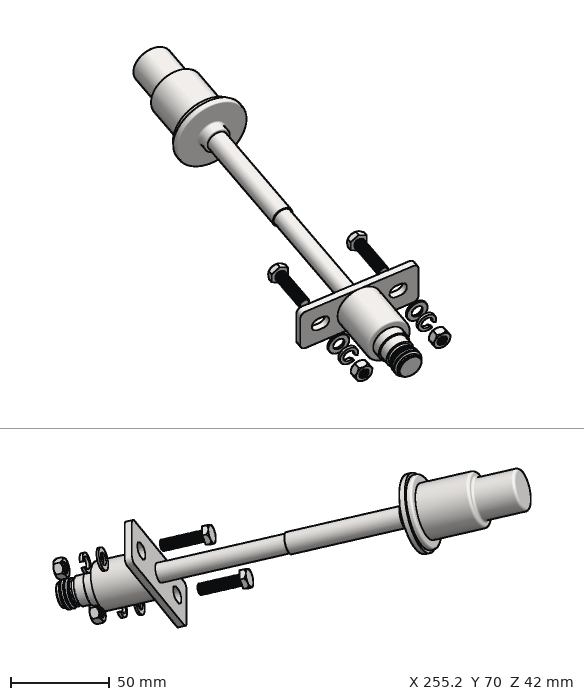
import cadquery as cq
import math

cap_radius = 11.2
cap_end = 23.5
cap_fillet = 1.5
cap_root_fillet = 1.3
barrel_radius = 29.9 / 2
barrel_end = 53.0
barrel_fillet = 1.5
rim_radius = 19.7
rim_end = 56.5
rim_fillet = 1.3
rim_back_fillet = 0.8
flange_radius = 21.0
flange_end = 59.7
flange_fillet = 0.8
collar_radius = 15.0 / 2
collar_end = 65.3
collar_fillet = 0.5
collar_root_fillet = 1.0
sleeve_radius = 5.9
sleeve_end = 129.5
rod_radius = 10.5 / 2

plate_start = 200.9
plate_thickness = 4.0
plate_length = 70.0
plate_height = 26.0
plate_corner_radius = 3.3
plate_slot_length = 10.2
plate_slot_width = 8.0
plate_slot_offset = 23.0

socket_radius = plate_height / 2
socket_end = 233.5
socket_fillet = 1.0
shoulder_radius = 18.0 / 2
shoulder_end = 239.0
tip_radius = 16.0 / 2
tip_end = 244.7
neck_radius = 7.0
runout_ridge_radius = 15.0 / 2
tip_thread_start = 246.5
tip_thread_pitch = 2.3
tip_crest_width = 0.8
tip_thread_turns = 2
overall_length = 255.2
tip_chamfer = 0.5

back_row_y = 23.5
front_row_y = -22.7
thread_radius = 3.0
thread_root_radius = 2.5
thread_pitch = 0.97

back_bolt_x = 161.5
front_bolt_x = 160.8
bolt_head_flats = 9.7
bolt_head_thickness = 3.5
bolt_shank_length = 24.2
hex_bevel_width = 0.8
hex_bevel_height = 1.0

back_washer_x = 221.5
front_washer_x = 221.3
washer_radius = 6.0
washer_hole_radius = 3.3
washer_thickness = 1.3

spring_washer_x = 230.7
spring_washer_radius = 5.4
spring_washer_hole_radius = 3.3
spring_washer_thickness = 1.8
spring_washer_gap = 3.0
spring_washer_gap_angle = -40

nut_x = 242.2
nut_flats = 9.7
nut_thickness = 5.0


def cylinder(radius, start, end):
    """Cylinder on the X axis between two positions."""
    return cq.Workplane("YZ", origin=(start, 0, 0)).circle(radius).extrude(end - start)


def ridged_rod(crest_radius, root_radius, pitch, start, turns, crest_width=0):
    """Rod on the X axis with tapered thread ridges, one for each turn; sharp unless given a crest width."""
    profile = cq.Workplane("XY").moveTo(start, 0).lineTo(start, root_radius)
    for turn in range(turns):
        ridge_start = start + turn * pitch
        crest_start = ridge_start + (pitch - crest_width) / 2
        profile = profile.lineTo(crest_start, crest_radius)
        if crest_width > 0:
            profile = profile.lineTo(crest_start + crest_width, crest_radius)
        profile = profile.lineTo(ridge_start + pitch, root_radius)
    profile = profile.lineTo(start + turns * pitch, 0).close()
    return profile.revolve(360, (0, 0, 0), (1, 0, 0))


def root_flare(radius, fillet, wall, side):
    """Concave fillet ring from a wall to the cylinder on its +X (side 1) or -X (side -1) side."""
    profile = (
        cq.Workplane("XY")
        .moveTo(wall, 0)
        .lineTo(wall, radius + fillet)
        .radiusArc((wall + side * fillet, radius), -side * fillet)
        .lineTo(wall + side * fillet, 0)
        .close()
    )
    return profile.revolve(360, (0, 0, 0), (1, 0, 0))


def hexagon(flats, thickness, corner_angle):
    """Hexagonal block from X = 0, with a corner turned from +Y towards +Z by the given angle."""
    across_corners = flats / math.cos(math.pi / 6)
    block = cq.Workplane("YZ").polygon(6, across_corners).extrude(thickness)
    return block.rotate((0, 0, 0), (1, 0, 0), corner_angle)


def bevel_disc(flats, thickness):
    """Disc that holds a hexagon and bevels its corners at the X = 0 face."""
    corner_radius = flats / 2 / math.cos(math.pi / 6)
    return cylinder(corner_radius, 0, thickness).faces("<X").chamfer(hex_bevel_height, hex_bevel_width)


def make_plate():
    plate = (
        cq.Workplane("YZ", origin=(plate_start, 0, 0))
        .rect(plate_length, plate_height)
        .extrude(plate_thickness)
        .edges("|X")
        .fillet(plate_corner_radius)
    )
    slots = (
        cq.Workplane("YZ", origin=(plate_start, 0, 0))
        .pushPoints([(plate_slot_offset, 0), (-plate_slot_offset, 0)])
        .slot2D(plate_slot_length, plate_slot_width)
        .extrude(plate_thickness)
    )
    return plate.cut(slots)


def make_cap():
    """Rounded end cap, flared where it meets the barrel."""
    cap = cylinder(cap_radius, 0, cap_end).faces("<X").edges().fillet(cap_fillet)
    flare = root_flare(cap_radius, cap_root_fillet, cap_end, -1)
    return cap.union(flare)


def make_barrel_and_flange():
    barrel = cylinder(barrel_radius, cap_end, barrel_end).faces("<X").edges().fillet(barrel_fillet)
    rim = cylinder(rim_radius, barrel_end, rim_end)
    rim = rim.faces("<X").edges().fillet(rim_fillet).faces(">X").edges().fillet(rim_back_fillet)
    flange = cylinder(flange_radius, rim_end, flange_end).faces(">X").edges().fillet(flange_fillet)
    return barrel.union(rim).union(flange)


def make_rod():
    """Collar, sleeve and thin rod between the flange and the plate."""
    collar = cylinder(collar_radius, flange_end, collar_end).faces(">X").edges().fillet(collar_fillet)
    flare = root_flare(collar_radius, collar_root_fillet, flange_end, 1)
    sleeve = cylinder(sleeve_radius, collar_end, sleeve_end)
    rod = cylinder(rod_radius, sleeve_end, plate_start)
    return collar.union(flare).union(sleeve).union(rod)


def make_socket():
    socket_start = plate_start + plate_thickness
    socket = cylinder(socket_radius, socket_start, socket_end).faces(">X").edges().fillet(socket_fillet)
    shoulder = cylinder(shoulder_radius, socket_end, shoulder_end)
    tip = cylinder(tip_radius, shoulder_end, tip_end)
    neck = cylinder(neck_radius, tip_end, overall_length).faces(">X").chamfer(tip_chamfer)
    return socket.union(shoulder).union(tip).union(neck)


def make_tip_thread():
    """Low run-out ridge followed by the full ridges."""
    runout = ridged_rod(
        runout_ridge_radius, neck_radius, tip_thread_pitch, tip_thread_start, 1, tip_crest_width
    )
    full_start = tip_thread_start + tip_thread_pitch
    full = ridged_rod(
        tip_radius, neck_radius, tip_thread_pitch, full_start, tip_thread_turns, tip_crest_width
    )
    return runout.union(full)


def make_body():
    body = make_cap().union(make_barrel_and_flange())
    body = body.union(make_rod()).union(make_plate())
    return body.union(make_socket()).union(make_tip_thread())


def make_bolt():
    head = hexagon(bolt_head_flats, bolt_head_thickness, 90)
    head = head.intersect(bevel_disc(bolt_head_flats, bolt_head_thickness))
    turns = round(bolt_shank_length / thread_pitch)
    shank = ridged_rod(thread_radius, thread_root_radius, thread_pitch, bolt_head_thickness, turns)
    return head.union(shank)


def make_washer():
    return cq.Workplane("YZ").circle(washer_radius).circle(washer_hole_radius).extrude(washer_thickness)


def make_spring_washer():
    ring = (
        cq.Workplane("YZ")
        .circle(spring_washer_radius)
        .circle(spring_washer_hole_radius)
        .extrude(spring_washer_thickness)
    )
    gap = cq.Workplane("XY").box(
        spring_washer_thickness, spring_washer_radius, spring_washer_gap, centered=(False, False, True)
    )
    return ring.cut(gap.rotate((0, 0, 0), (1, 0, 0), spring_washer_gap_angle))


def make_nut():
    bevel = bevel_disc(nut_flats, nut_thickness)
    far_bevel = bevel.mirror("YZ").translate((nut_thickness, 0, 0))
    nut = hexagon(nut_flats, nut_thickness, 0).intersect(bevel).intersect(far_bevel)
    turns = math.ceil(nut_thickness / thread_pitch)
    return nut.cut(ridged_rod(thread_radius, thread_root_radius, thread_pitch, 0, turns))


body = make_body()

bolts = []
washers = []
spring_washers = []
nuts = []
rows = [
    (back_row_y, back_bolt_x, back_washer_x),
    (front_row_y, front_bolt_x, front_washer_x),
]
for row_y, bolt_x, washer_x in rows:
    bolts.append(make_bolt().translate((bolt_x, row_y, 0)).val())
    washers.append(make_washer().translate((washer_x, row_y, 0)).val())
    spring_washers.append(make_spring_washer().translate((spring_washer_x, row_y, 0)).val())
    nuts.append(make_nut().translate((nut_x, row_y, 0)).val())

result = cq.Compound.makeCompound([body.val(), *bolts, *washers, *spring_washers, *nuts])